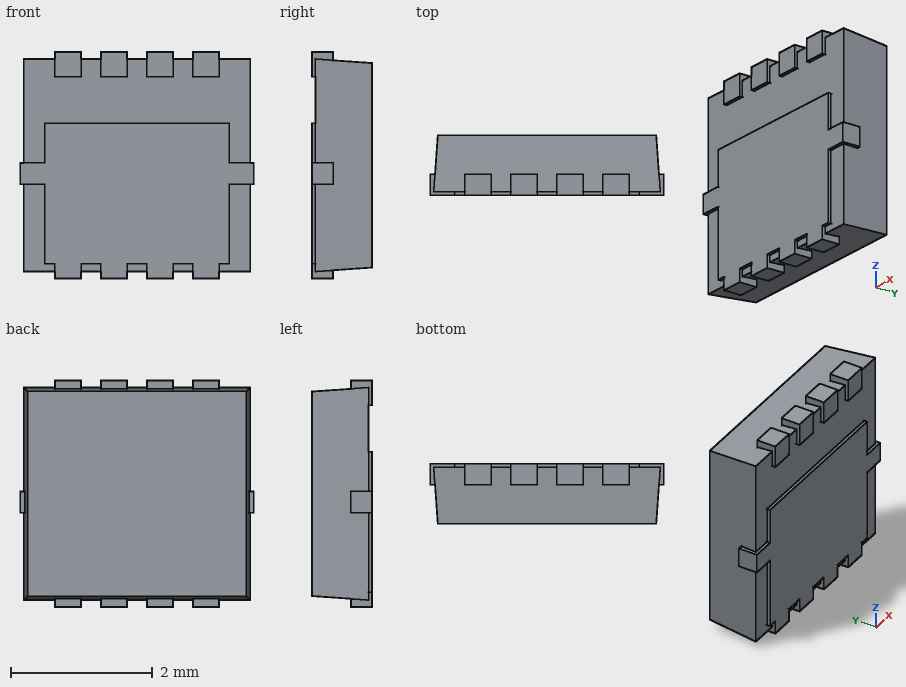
import cadquery as cq
import math

overall_width = 3.3
overall_depth = 0.85
overall_height = 3.2

standoff = 0.05
housing_width = 3.2
housing_height = 3.003
housing_depth = overall_depth - standoff
draft_angle = 4.0

frame_thickness = 0.3
lead_count = 4
lead_pitch = 0.65
lead_width = 0.37
lead_length = 0.353

pad_width = 2.6
pad_top = 0.597
pad_bottom = -1.393
tab_height = 0.305
tab_center = -0.12

lead_positions = [(i - (lead_count - 1) / 2) * lead_pitch for i in range(lead_count)]


def frame_plate(x_center, width, bottom, top):
    """Rectangular piece of lead frame, from the mounting face back by the metal thickness."""
    height = top - bottom
    return cq.Workplane("XY").box(width, frame_thickness, height).translate(
        (x_center, frame_thickness / 2, (bottom + top) / 2)
    )


def make_lead(x_center):
    """Separate lead at the top edge of the package."""
    lead_end = overall_height / 2
    return frame_plate(x_center, lead_width, lead_end - lead_length, lead_end)


def make_drain_pad():
    """Large pad with a tab on each side and a row of leads along its lower edge."""
    pad = frame_plate(0, pad_width, pad_bottom, pad_top)
    tabs = frame_plate(0, overall_width, tab_center - tab_height / 2, tab_center + tab_height / 2)
    pad = pad.union(tabs)
    for x_center in lead_positions:
        pad = pad.union(frame_plate(x_center, lead_width, -overall_height / 2, pad_top))
    return pad.clean()


def make_housing(embedded_bodies):
    """Tapered block with a matching recess for every piece of the lead frame."""
    back_inset = housing_depth * math.tan(math.radians(draft_angle))
    block = (
        cq.Workplane("XZ", origin=(0, standoff, 0))
        .rect(housing_width, housing_height)
        .workplane(offset=-housing_depth)
        .rect(housing_width - 2 * back_inset, housing_height - 2 * back_inset)
        .loft(ruled=True)
    )
    for body in embedded_bodies:
        block = block.cut(body)
    return block


leads = [make_lead(x_center) for x_center in lead_positions]
drain_pad = make_drain_pad()
housing = make_housing([*leads, drain_pad])

result = cq.Compound.makeCompound([housing.val(), drain_pad.val(), *[lead.val() for lead in leads]])